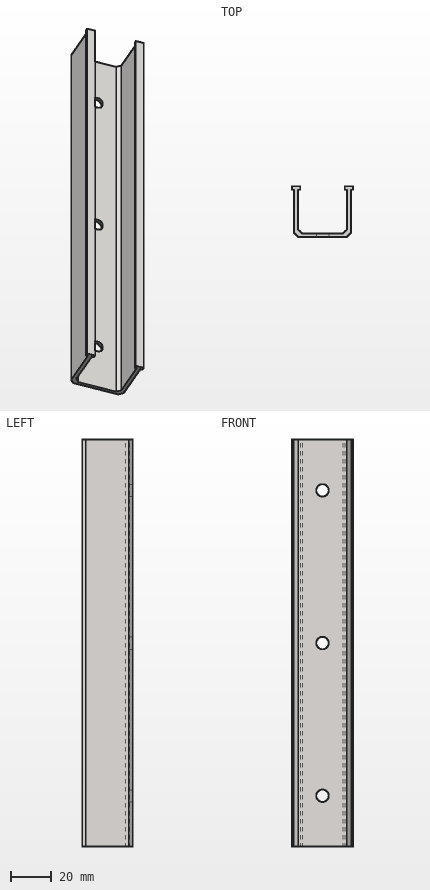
import cadquery as cq

length = 200.0
depth = 25.0
lip_width_overall = 30.2

channel_width = 28.0
side_wall = 2.0
web = 1.8
outer_chamfer = 2.0
inner_chamfer = 2.0

lip_height = 1.8
lip_overhang = (lip_width_overall - channel_width) / 2

hole_diameter = 6.0
hole_spacing = 75.0
hole_count = 3

web_y = -depth / 2
open_y = depth / 2


def box_between(x_min, x_max, y_min, y_max):
    """Full-length bar covering the given X and Y ranges."""
    return cq.Workplane("XY").box(x_max - x_min, y_max - y_min, length).translate(
        ((x_min + x_max) / 2, (y_min + y_max) / 2, 0)
    )


def make_channel():
    """U-shaped channel, open towards +Y, with chamfered corners along the web."""
    half_width = channel_width / 2
    outer = box_between(-half_width, half_width, web_y, open_y)
    outer = outer.edges("|Z and <Y").chamfer(outer_chamfer)
    half_gap = half_width - side_wall
    inner = box_between(-half_gap, half_gap, web_y + web, open_y)
    inner = inner.edges("|Z and <Y").chamfer(inner_chamfer)
    return outer.cut(inner)


def make_lip(side):
    """Bead on the open edge of one wall; side is -1 or +1 along X."""
    center_x = side * (channel_width - side_wall) / 2
    half_lip = side_wall / 2 + lip_overhang
    return box_between(center_x - half_lip, center_x + half_lip, open_y - lip_height, open_y)


def make_holes():
    """Row of round cutters along Y, centred on the web."""
    return (
        cq.Workplane("XZ", origin=(0, web_y + web, 0))
        .rarray(1, hole_spacing, 1, hole_count)
        .circle(hole_diameter / 2)
        .extrude(web)
    )


result = make_channel()
for side in (-1, 1):
    result = result.union(make_lip(side))
result = result.cut(make_holes())